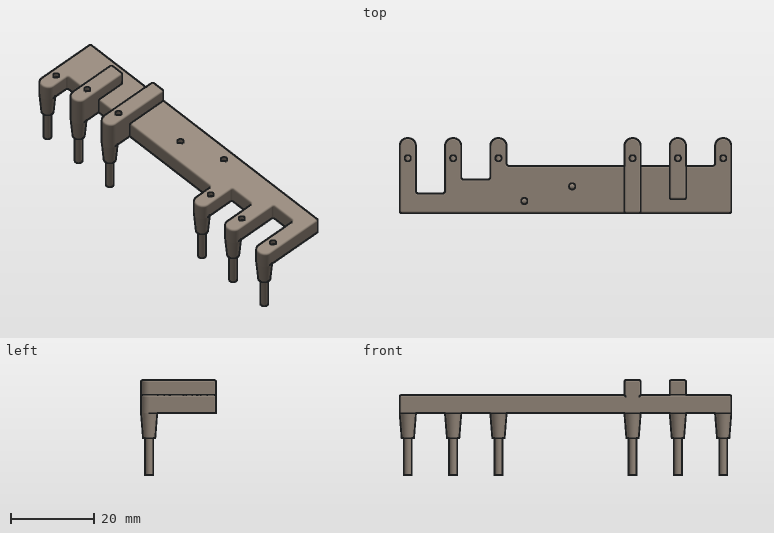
import cadquery as cq

length = 79.8
depth = 18.1
plate_thickness = 4.4
rib_height = 3.6
edge_radius = 0.5

fingers_per_group = 3
finger_width = 4.0
finger_radius = finger_width / 2
finger_group_gap = 32.2
finger_pitch = (length - finger_width - finger_group_gap) / (2 * (fingers_per_group - 1))
finger_centre_y = depth - finger_radius

left_fingers = [finger_radius + i * finger_pitch for i in range(fingers_per_group)]
right_fingers = [length - finger_radius - i * finger_pitch for i in range(fingers_per_group)]
end_finger, short_rib, long_rib = right_fingers

first_gap_y = 4.8
second_gap_y = 8.1
plate_back_y = 11.4

short_rib_front_y = 3.35

collar_length = 6.0
collar_tip_diameter = 3.0
pin_length = 8.9
pin_diameter = 2.0

hole_diameter = 1.5
conductor_diameter = pin_diameter
conductor_depth = plate_thickness / 2
finger_hole_y = 13.25
plate_holes = [(30.0, 2.95), (41.5, 6.5)]


def make_plate():
    """Comb-shaped plate with three fingers on the left and one at the right end."""
    outline = cq.Workplane("XY").lineTo(0, finger_centre_y)
    back_edges = [first_gap_y, second_gap_y, plate_back_y]
    next_fingers = left_fingers[1:] + [end_finger]
    for centre_x, next_centre_x, back_y in zip(left_fingers, next_fingers, back_edges):
        right_x = centre_x + finger_radius
        outline = outline.threePointArc((centre_x, depth), (right_x, finger_centre_y))
        outline = outline.lineTo(right_x, back_y)
        next_x = next_centre_x - finger_radius
        outline = outline.lineTo(next_x, back_y).lineTo(next_x, finger_centre_y)
    outline = outline.threePointArc((end_finger, depth), (length, finger_centre_y)).lineTo(length, 0).close()
    plate = outline.extrude(plate_thickness)

    seam_y = finger_centre_y - edge_radius
    corners = plate.edges("|Z").filter(lambda edge: edge.Center().y < seam_y)
    plate = corners.fillet(edge_radius)
    return plate.faces(">Z").edges().fillet(edge_radius)


def make_rib(centre_x, front_y):
    """Raised finger that runs from front_y to the finger tips, through the plate."""
    left_x = centre_x - finger_radius
    right_x = centre_x + finger_radius
    rib = (
        cq.Workplane("XY")
        .moveTo(left_x, front_y)
        .lineTo(left_x, finger_centre_y)
        .threePointArc((centre_x, depth), (right_x, finger_centre_y))
        .lineTo(right_x, front_y)
        .close()
        .extrude(plate_thickness + rib_height)
    )
    rib = rib.faces("<Y").edges("|Z").fillet(edge_radius)
    return rib.faces(">Z").edges().fillet(edge_radius)


def make_pin(centre_x):
    """Tapered collar and straight pin hanging below a finger."""
    collar_radius = collar_tip_diameter / 2
    pin_radius = pin_diameter / 2
    tip_z = -collar_length - pin_length
    profile = [
        (0, 0),
        (finger_radius, 0),
        (collar_radius, -collar_length),
        (pin_radius, -collar_length),
        (pin_radius, tip_z),
        (0, tip_z),
    ]
    pin = cq.Workplane("XZ").polyline(profile).close().revolve(axisStart=(0, 0), axisEnd=(0, 1))
    return pin.translate((centre_x, finger_centre_y, 0))


def make_hole(centre_x, centre_y, top_z, conductor_plane):
    """Cutter for a hole whose floor is the round crest of a conductor.

    The conductor runs along the normal of conductor_plane: "XZ" for Y, "YZ" for X.
    """
    hole = cq.Workplane("XY").circle(hole_diameter / 2).extrude(-conductor_depth)
    conductor = (
        cq.Workplane(conductor_plane)
        .center(0, -conductor_depth)
        .circle(conductor_diameter / 2)
        .extrude(hole_diameter, both=True)
    )
    return hole.cut(conductor).translate((centre_x, centre_y, top_z))


result = make_plate().union(make_rib(long_rib, 0)).union(make_rib(short_rib, short_rib_front_y))

for finger_x in left_fingers + right_fingers:
    result = result.union(make_pin(finger_x))
    is_rib = finger_x in (long_rib, short_rib)
    finger_top = plate_thickness + (rib_height if is_rib else 0)
    result = result.cut(make_hole(finger_x, finger_hole_y, finger_top, "XZ"))

for hole_x, hole_y in plate_holes:
    result = result.cut(make_hole(hole_x, hole_y, plate_thickness, "YZ"))